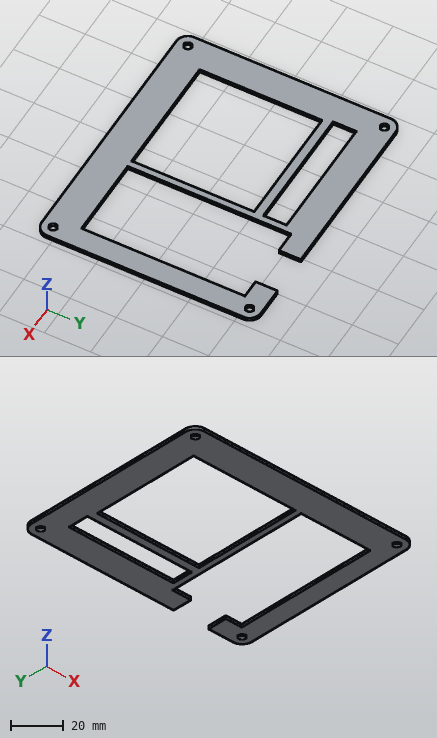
import cadquery as cq

LENGTH = 115.0
WIDTH = 95.0
THICKNESS = 1.5
CORNER_RADIUS = 5.0

HOLE_DIAMETER = 3.5
HOLE_INSET = 5.0

WINDOW_SIZE = 53.0
WINDOW_LEFT = 13.3
WINDOW_FRONT = 14.7
WINDOW_RIGHT = WINDOW_LEFT + WINDOW_SIZE
WINDOW_BACK = WINDOW_FRONT + WINDOW_SIZE

SLOT_LENGTH = 54.4
SLOT_WIDTH = 10.0
SLOT_GAP = 4.0
SLOT_LEFT = WINDOW_RIGHT - SLOT_LENGTH
SLOT_FRONT = WINDOW_BACK + SLOT_GAP

DIVIDER_WIDTH = 3.1
BAY_LENGTH = 36.0
BAY_WIDTH = 70.7
BAY_LEFT = WINDOW_RIGHT + DIVIDER_WIDTH

MOUTH_LENGTH = 18.2
MOUTH_OFFSET = 9.5
MOUTH_LEFT = BAY_LEFT + MOUTH_OFFSET
MOUTH_WIDTH = WIDTH - WINDOW_FRONT


def make_plate():
    """Flat plate with rounded corners and its front-left corner at the origin."""
    plate = cq.Workplane("XY").box(LENGTH, WIDTH, THICKNESS, centered=False)
    return plate.edges("|Z").fillet(CORNER_RADIUS)


def opening(left, front, length, width):
    """Rectangular cutter through the full thickness."""
    cutter = cq.Workplane("XY").box(length, width, THICKNESS, centered=False)
    return cutter.translate((left, front, 0))


def corner_holes():
    """Cutters for the four screw holes."""
    return (
        cq.Workplane("XY")
        .center(LENGTH / 2, WIDTH / 2)
        .rect(LENGTH - 2 * HOLE_INSET, WIDTH - 2 * HOLE_INSET, forConstruction=True)
        .vertices()
        .circle(HOLE_DIAMETER / 2)
        .extrude(THICKNESS)
    )


window = opening(WINDOW_LEFT, WINDOW_FRONT, WINDOW_SIZE, WINDOW_SIZE)
slot = opening(SLOT_LEFT, SLOT_FRONT, SLOT_LENGTH, SLOT_WIDTH)
bay = opening(BAY_LEFT, WINDOW_FRONT, BAY_LENGTH, BAY_WIDTH)
mouth = opening(MOUTH_LEFT, WINDOW_FRONT, MOUTH_LENGTH, MOUTH_WIDTH)

result = make_plate()
for cutter in (window, slot, bay, mouth, corner_holes()):
    result = result.cut(cutter)